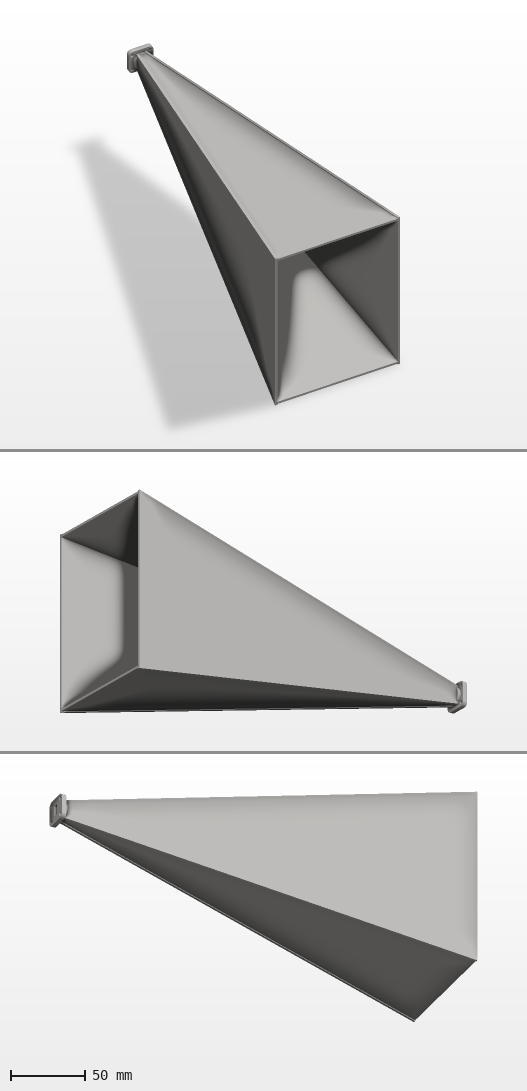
import cadquery as cq

length = 295.0
aperture_width = 95.0
aperture_height = 131.0

throat_width = 7.7
throat_height = 13.0
wall = 1.8
plate_step = 0.75

flange_size = 18.5
flange_thickness = 3.2
flange_corner_radius = 3.2
hole_diameter = 3.0
hole_spacing_y = 13.3
hole_spacing_z = 12.5

collar_diameter = 13.0
collar_end = 5.5
guide_width = 3.8
guide_height = 7.7


def taper(inset_y, inset_z):
    """Rectangular frustum from throat to aperture, inset from the outer envelope on each side."""
    return (
        cq.Workplane("YZ", origin=(flange_thickness, 0, 0))
        .rect(throat_width - 2 * inset_y, throat_height - 2 * inset_z)
        .workplane(offset=length - flange_thickness)
        .rect(aperture_width - 2 * inset_y, aperture_height - 2 * inset_z)
        .loft(ruled=True)
    )


def make_horn():
    """Two full-height side plates joined by slightly recessed top and bottom plates."""
    side_plates = taper(0, 0).cut(taper(wall, 0))
    cross_plates = taper(wall, plate_step)
    return side_plates.union(cross_plates)


def make_flange():
    """Square flange with rounded corners and four mounting holes."""
    plate = (
        cq.Workplane("YZ")
        .rect(flange_size, flange_size)
        .extrude(flange_thickness)
        .edges("|X")
        .fillet(flange_corner_radius)
    )
    holes = (
        cq.Workplane("YZ")
        .rect(hole_spacing_y, hole_spacing_z, forConstruction=True)
        .vertices()
        .circle(hole_diameter / 2)
        .extrude(flange_thickness)
    )
    return plate.cut(holes)


def make_collar():
    """Round collar behind the flange, reinforcing the joint with the horn."""
    return (
        cq.Workplane("YZ", origin=(flange_thickness, 0, 0))
        .circle(collar_diameter / 2)
        .extrude(collar_end - flange_thickness)
    )


body = make_flange().union(make_collar()).union(make_horn())
horn_cavity = taper(wall, wall + plate_step)
waveguide = cq.Workplane("YZ").rect(guide_width, guide_height).extrude(collar_end)

result = body.cut(horn_cavity).cut(waveguide)